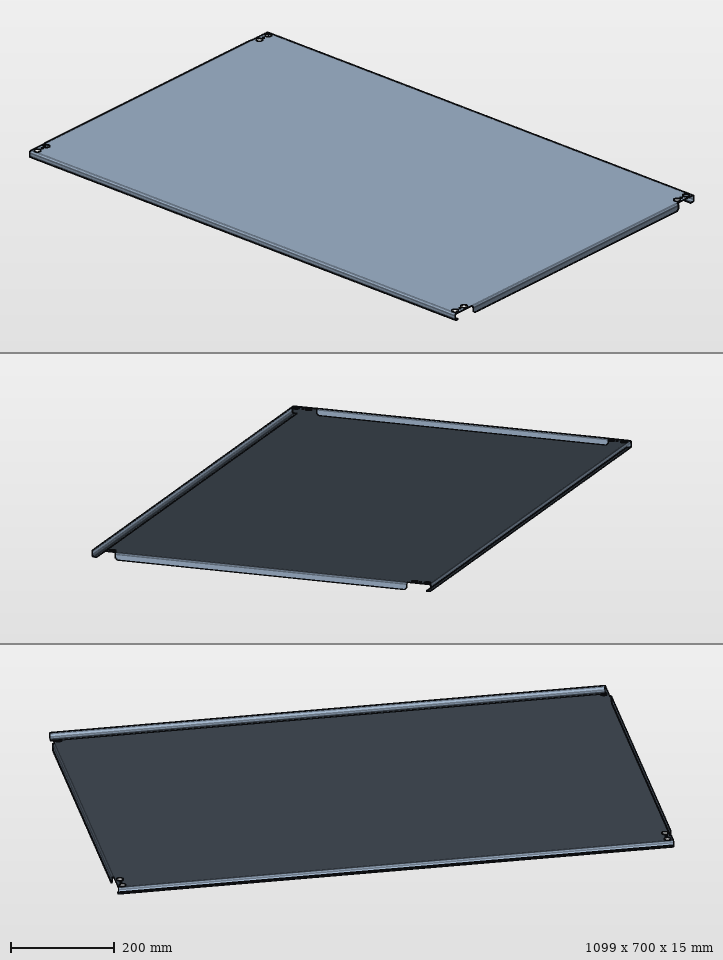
import cadquery as cq

length = 1099.0
width = 700.0
height = 15.0
thickness = 1.6
bend_radius = 4.0

lip_depth = 10.0
corner_relief = 50.0
corner_inset = 4.0
flange_end_chamfer = 4.0

hole_inset_x = 10.0
fixing_hole_diameter = 13.0
fixing_hole_insets_y = (12.0, 38.0)
pilot_hole_diameter = 4.0
pilot_hole_inset_y = 26.0

inner_bend_radius = bend_radius - thickness
corner_x = length / 2 - corner_inset
corner_y = width / 2
side_flange_length = width - 2 * corner_relief


def block(size_x, size_y, bottom, top):
    """Box centred on the Z axis between two heights."""
    return cq.Workplane("XY").workplane(offset=bottom).rect(size_x, size_y).extrude(top - bottom)


def lipped_panel():
    """Flat sheet with its long edges folded down and turned inwards."""
    run = 2 * corner_x
    outer = block(run, width, 0, height).edges("|X").fillet(bend_radius)
    inner = block(run, width - 2 * thickness, thickness, height - thickness)
    inner = inner.edges("|X").fillet(inner_bend_radius)
    opening = block(run, width - 2 * lip_depth, 0, height / 2)
    return outer.cut(inner).cut(opening)


def side_flanges():
    """Middle strip of sheet with plain flanges folded down on the short edges."""
    run = side_flange_length
    outer = block(length, run, 0, height)
    outer = outer.edges("|X and <Z").chamfer(flange_end_chamfer)
    outer = outer.edges("|Y and >Z").fillet(bend_radius)
    inner = block(length - 2 * thickness, run, 0, height - thickness)
    inner = inner.edges("|Y and >Z").fillet(inner_bend_radius)
    return outer.cut(inner)


def corner_holes(insets_y, diameter):
    """Cutters through the sheet at all four corners, reaching halfway down the flanges."""
    points = [
        (sign_x * (corner_x - hole_inset_x), sign_y * (corner_y - inset_y))
        for sign_x in (-1, 1)
        for sign_y in (-1, 1)
        for inset_y in insets_y
    ]
    cutters = cq.Workplane("XY").workplane(offset=height / 2).pushPoints(points)
    return cutters.circle(diameter / 2).extrude(height / 2)


panel = lipped_panel().union(side_flanges())
panel = panel.cut(corner_holes(fixing_hole_insets_y, fixing_hole_diameter))
result = panel.cut(corner_holes((pilot_hole_inset_y,), pilot_hole_diameter))